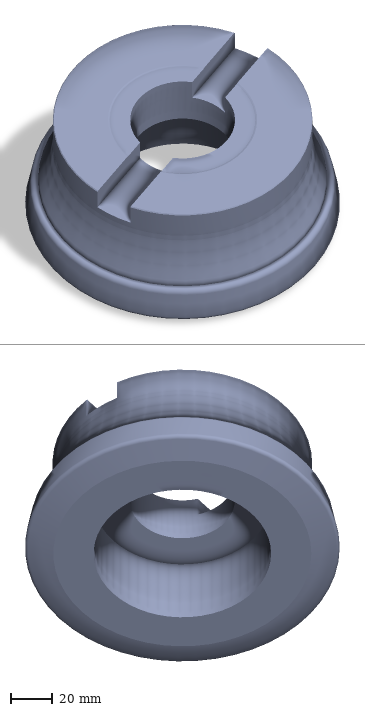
import cadquery as cq
import math

outer_radius = 76.2
total_height = 63.5
split_height = 20.3

bottom_face_radius = 62.5
bevel_angle = math.radians(12)
side_angle = math.radians(10)
rim_round = 1.8
shoulder_round = 2.5

spigot_radius = 104.4 / 2

neck_foot_radius = 139.7 / 2
foot_height = 20.7
foot_middle_radius = 69.8
foot_middle_height = 22.1
flare_bottom_radius = 69.2
flare_bottom_height = 23.9
flare_middle_radius = 65.0
flare_middle_height = 34.7
flare_top_radius = 63.0
flare_top_height = 45.5
collar_radius = 125.7 / 2
collar_bottom_height = 48.6
collar_chamfer = 0.5

bore_radius = 50.7 / 2
counterbore_radius = 86.0 / 2
ledge_height = 36.9

recess_top_radius = 36.1
recess_floor_radius = 35.2
recess_depth = 0.3

slot_width = 18.9
slot_depth = 11.3


def arc_point(center, radius, angle):
    """Point on a circle in the profile plane, with the angle measured from outward radial."""
    return (center[0] + radius * math.cos(angle), center[1] + radius * math.sin(angle))


def make_flange():
    """Ring with a leaning side, bevelled underside and tangent rounds at rim and shoulder."""
    rim_x = outer_radius - rim_round
    rim_z = (rim_x - bottom_face_radius) * math.tan(bevel_angle) + rim_round / math.cos(bevel_angle)
    rim_center = (rim_x, rim_z)

    shoulder_z = split_height - shoulder_round
    side_lean = (shoulder_z - rim_z) * math.sin(side_angle)
    shoulder_x = rim_x + (rim_round - shoulder_round - side_lean) / math.cos(side_angle)
    shoulder_center = (shoulder_x, shoulder_z)
    shoulder_middle_angle = (side_angle + math.pi / 2) / 2

    return (
        cq.Workplane("XZ")
        .moveTo(spigot_radius, 0)
        .lineTo(bottom_face_radius, 0)
        .lineTo(*arc_point(rim_center, rim_round, bevel_angle - math.pi / 2))
        .threePointArc((outer_radius, rim_z), arc_point(rim_center, rim_round, side_angle))
        .lineTo(*arc_point(shoulder_center, shoulder_round, side_angle))
        .threePointArc(
            arc_point(shoulder_center, shoulder_round, shoulder_middle_angle),
            (shoulder_x, split_height),
        )
        .lineTo(spigot_radius, split_height)
        .close()
        .revolve(360, (0, 0, 0), (0, 1, 0))
    )


def make_neck_blank():
    """Flared neck and spigot with the stepped bore and the shallow recess in its top face."""
    return (
        cq.Workplane("XZ")
        .moveTo(counterbore_radius, 0)
        .lineTo(spigot_radius, 0)
        .lineTo(spigot_radius, split_height)
        .lineTo(neck_foot_radius, split_height)
        .lineTo(neck_foot_radius, foot_height)
        .threePointArc((foot_middle_radius, foot_middle_height), (flare_bottom_radius, flare_bottom_height))
        .threePointArc((flare_middle_radius, flare_middle_height), (flare_top_radius, flare_top_height))
        .lineTo(collar_radius, collar_bottom_height)
        .lineTo(collar_radius, total_height - collar_chamfer)
        .lineTo(collar_radius - collar_chamfer, total_height)
        .lineTo(recess_top_radius, total_height)
        .lineTo(recess_floor_radius, total_height - recess_depth)
        .lineTo(bore_radius, total_height - recess_depth)
        .lineTo(bore_radius, ledge_height)
        .lineTo(counterbore_radius, ledge_height)
        .close()
        .revolve(360, (0, 0, 0), (0, 1, 0))
    )


def make_slot():
    """Cutting block for the slot that crosses the whole top face."""
    return (
        cq.Workplane("XY", origin=(0, 0, total_height - slot_depth))
        .rect(slot_width, 2 * outer_radius)
        .extrude(slot_depth)
    )


flange = make_flange()
neck = make_neck_blank().cut(make_slot())

result = cq.Compound.makeCompound([flange.val(), neck.val()])